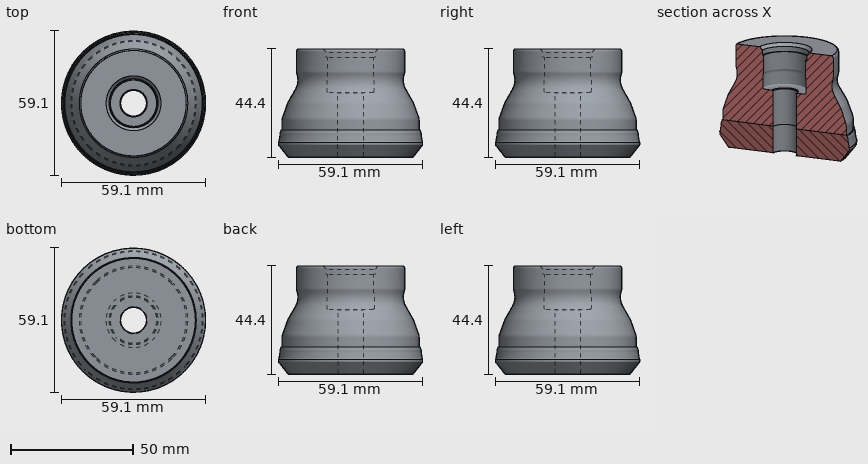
import cadquery as cq

TOTAL_HEIGHT = 44.4
SPLIT_HEIGHT = 11.3

CROWN_RADIUS = 22.2
CROWN_ROUND_WIDTH = 0.65
CROWN_ROUND_DEPTH = 1.1
CROWN_BOTTOM = 35.1
LIP_RADIUS = 22.05
LIP_HEIGHT = 34.15
NECK_END_RADIUS = 22.6
NECK_END_HEIGHT = 27.9
UPPER_CONE_RADIUS = 25.3
UPPER_CONE_HEIGHT = 23.2
SHOULDER_RADIUS = 26.0
SHOULDER_HEIGHT = 21.75
LOWER_CONE_RADIUS = 27.75
LOWER_CONE_HEIGHT = 16.8
SKIRT_RADIUS = 28.1
SKIRT_TOP = 15.05

MOUTH_CHAMFER_WIDTH = 1.2
MOUTH_RADIUS = 10.05
MOUTH_CHAMFER_DEPTH = 1.35
MOUTH_DEPTH = 3.4
BORE_RADIUS = 9.45
RELIEF_START_DEPTH = 10.95
RELIEF_STEP = 0.25
RELIEF_LEAD_LENGTH = 1.2
RELIEF_TAPER_WIDTH = 0.15
RELIEF_TAPER_LENGTH = 0.55
FLOOR_FILLET = 0.55
BORE_DEPTH = 17.7
SCREW_HOLE_RADIUS = 5.25
SCREW_HOLE_CHAMFER = 0.35

RIM_RADIUS = 28.5
RIM_CHAMFER_RADIUS = 28.7
RIM_CHAMFER_HEIGHT = 10.7
LAND_RADIUS = 28.95
LAND_TOP = 9.75
LAND_BOTTOM = 9.35
FLANK_TOP_RADIUS = 29.0
FLANK_TOP = 8.8
FLANK_BOTTOM_RADIUS = 29.35
FLANK_BOTTOM = 6.7
OUTER_RADIUS = 29.55
OUTER_TOP = 6.2
OUTER_BOTTOM = 5.3
UNDERCUT_RADIUS = 29.25
UNDERCUT_TOP = 4.8
FOOT_CONE_RADIUS = 25.7
FOOT_CONE_HEIGHT = 0.25
FOOT_RADIUS = 25.3


def make_hub():
    """Turned hub with a hollow neck and a stepped bore."""
    relief_radius = BORE_RADIUS + RELIEF_STEP
    relief_top = TOTAL_HEIGHT - RELIEF_START_DEPTH
    floor_height = TOTAL_HEIGHT - BORE_DEPTH
    ledge_height = TOTAL_HEIGHT - MOUTH_DEPTH
    profile = (
        cq.Workplane("XZ")
        .moveTo(SCREW_HOLE_RADIUS, SPLIT_HEIGHT)
        .lineTo(SKIRT_RADIUS, SPLIT_HEIGHT)
        .lineTo(SKIRT_RADIUS, SKIRT_TOP)
        .tangentArcPoint((LOWER_CONE_RADIUS, LOWER_CONE_HEIGHT), relative=False)
        .lineTo(SHOULDER_RADIUS, SHOULDER_HEIGHT)
        .tangentArcPoint((UPPER_CONE_RADIUS, UPPER_CONE_HEIGHT), relative=False)
        .lineTo(NECK_END_RADIUS, NECK_END_HEIGHT)
        .tangentArcPoint((LIP_RADIUS, LIP_HEIGHT), relative=False)
        .tangentArcPoint((CROWN_RADIUS, CROWN_BOTTOM), relative=False)
        .lineTo(CROWN_RADIUS, TOTAL_HEIGHT - CROWN_ROUND_DEPTH)
        .tangentArcPoint((CROWN_RADIUS - CROWN_ROUND_WIDTH, TOTAL_HEIGHT), relative=False)
        .lineTo(MOUTH_RADIUS + MOUTH_CHAMFER_WIDTH, TOTAL_HEIGHT)
        .lineTo(MOUTH_RADIUS, TOTAL_HEIGHT - MOUTH_CHAMFER_DEPTH)
        .lineTo(MOUTH_RADIUS, ledge_height)
        .lineTo(BORE_RADIUS, ledge_height)
        .lineTo(BORE_RADIUS, relief_top)
        .lineTo(BORE_RADIUS + RELIEF_TAPER_WIDTH, relief_top - RELIEF_TAPER_LENGTH)
        .tangentArcPoint((relief_radius, relief_top - RELIEF_LEAD_LENGTH), relative=False)
        .lineTo(relief_radius, floor_height + FLOOR_FILLET)
        .tangentArcPoint((relief_radius - FLOOR_FILLET, floor_height), relative=False)
        .lineTo(SCREW_HOLE_RADIUS + SCREW_HOLE_CHAMFER, floor_height)
        .lineTo(SCREW_HOLE_RADIUS, floor_height - SCREW_HOLE_CHAMFER)
        .close()
    )
    return profile.revolve(360, (0, 0), (0, 1))


def make_base_ring():
    """Turned base with a banded edge, a conical underside and the screw hole through it."""
    profile = (
        cq.Workplane("XZ")
        .moveTo(SCREW_HOLE_RADIUS, SPLIT_HEIGHT)
        .lineTo(RIM_RADIUS, SPLIT_HEIGHT)
        .lineTo(RIM_CHAMFER_RADIUS, RIM_CHAMFER_HEIGHT)
        .lineTo(LAND_RADIUS, LAND_TOP)
        .lineTo(LAND_RADIUS, LAND_BOTTOM)
        .lineTo(FLANK_TOP_RADIUS, FLANK_TOP)
        .lineTo(FLANK_BOTTOM_RADIUS, FLANK_BOTTOM)
        .lineTo(OUTER_RADIUS, OUTER_TOP)
        .lineTo(OUTER_RADIUS, OUTER_BOTTOM)
        .tangentArcPoint((UNDERCUT_RADIUS, UNDERCUT_TOP), relative=False)
        .lineTo(FOOT_CONE_RADIUS, FOOT_CONE_HEIGHT)
        .lineTo(FOOT_RADIUS, 0)
        .lineTo(SCREW_HOLE_RADIUS, 0)
        .close()
    )
    return profile.revolve(360, (0, 0), (0, 1))


hub = make_hub()
base_ring = make_base_ring()

result = cq.Compound.makeCompound([hub.val(), base_ring.val()])